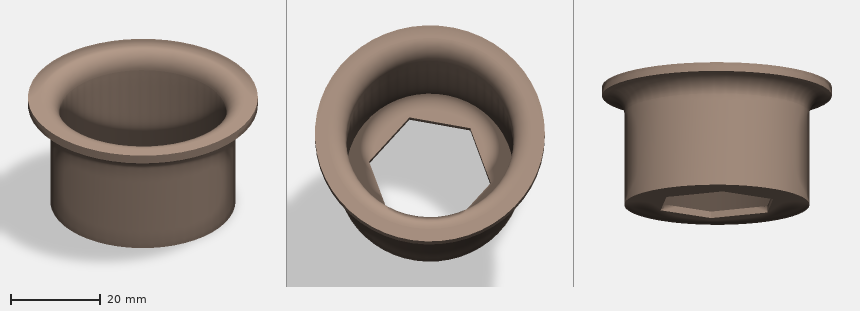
import cadquery as cq
import math

height = 27.0
flange_radius = 25.75
flange_thickness = 2.0
body_radius = 20.75
wall_thickness = 2.0
floor_thickness = 1.5
round_radius = 4.0
hex_across_flats = 24.0

bore_radius = body_radius - wall_thickness
flange_bottom = height - flange_thickness
diagonal = math.sqrt(0.5)


def flanged_cup():
    """Revolve the half section of the cup about the Z axis."""
    flare_center_r = body_radius + round_radius
    flare_center_z = flange_bottom - round_radius
    mouth_center_r = bore_radius + round_radius
    mouth_center_z = height - round_radius
    arc_offset = round_radius * diagonal

    section = (
        cq.Workplane("XZ")
        .lineTo(body_radius, 0)
        .lineTo(body_radius, flare_center_z)
        .threePointArc(
            (flare_center_r - arc_offset, flare_center_z + arc_offset),
            (flare_center_r, flange_bottom),
        )
        .lineTo(flange_radius, flange_bottom)
        .lineTo(flange_radius, height)
        .lineTo(mouth_center_r, height)
        .threePointArc(
            (mouth_center_r - arc_offset, mouth_center_z + arc_offset),
            (bore_radius, mouth_center_z),
        )
        .lineTo(bore_radius, floor_thickness)
        .lineTo(0, floor_thickness)
        .close()
    )
    return section.revolve(360, (0, 0, 0), (0, 1, 0))


def hexagonal_hole():
    """Prism through the floor, with two corners on the X axis."""
    corner_diameter = hex_across_flats / math.cos(math.radians(30))
    return cq.Workplane("XY").polygon(6, corner_diameter).extrude(floor_thickness)


result = flanged_cup().cut(hexagonal_hole())